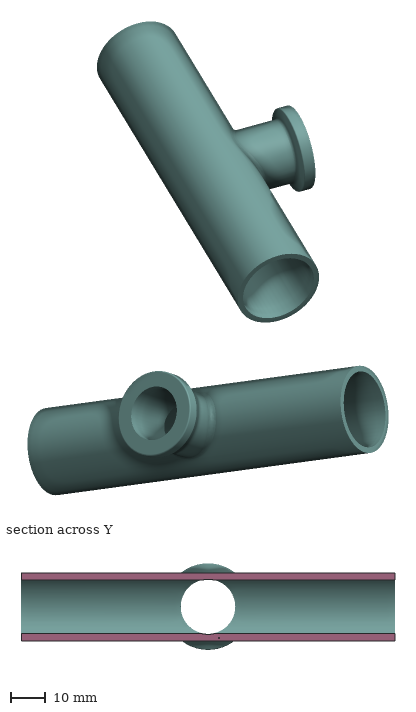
import cadquery as cq
import math

RUN_LENGTH = 107.95
RUN_OUTER_DIAMETER = 25.4
RUN_INNER_DIAMETER = 22.1

WALL = (RUN_OUTER_DIAMETER - RUN_INNER_DIAMETER) / 2
BRANCH_OUTER_DIAMETER = 19.05
BRANCH_INNER_DIAMETER = BRANCH_OUTER_DIAMETER - 2 * WALL
BRANCH_FACE_Y = 28.575
SADDLE_FILLET_RADIUS = 1.5

FERRULE_LENGTH = 12.7
FLANGE_DIAMETER = 24.99
FLANGE_THICKNESS = 3.6
TAPER_ANGLE = 20.0
FRONT_EDGE_FILLET_RADIUS = 0.4
BACK_EDGE_FILLET_RADIUS = 0.4
NECK_FILLET_RADIUS = 0.8


def cylinder_along_x(diameter, length):
    """Cylinder on the X axis, centred on the origin."""
    return cq.Workplane("YZ").circle(diameter / 2).extrude(length / 2, both=True)


def cylinder_along_y(diameter, length):
    """Cylinder on the Y axis, from the origin toward +Y."""
    return cq.Workplane("XZ").circle(diameter / 2).extrude(-length)


def make_tee_body():
    """Solid run and branch stub, blended where they meet."""
    run = cylinder_along_x(RUN_OUTER_DIAMETER, RUN_LENGTH)
    stub = cylinder_along_y(BRANCH_OUTER_DIAMETER, BRANCH_FACE_Y - FERRULE_LENGTH)
    run_radius = RUN_OUTER_DIAMETER / 2
    stub_radius = BRANCH_OUTER_DIAMETER / 2
    joint_low_y = math.sqrt(run_radius**2 - stub_radius**2)
    joint_box = cq.selectors.BoxSelector(
        (-stub_radius, joint_low_y, -stub_radius),
        (stub_radius, run_radius, stub_radius),
    )
    return run.union(stub).edges(joint_box).fillet(SADDLE_FILLET_RADIUS)


def round_edge(body, y, radius):
    """Fillet the circular edge centred at height y on the branch axis."""
    return body.edges(cq.selectors.NearestToPointSelector((0, y, 0))).fillet(radius)


def make_ferrule():
    """Solid ferrule: straight neck and a flange with a tapered, rounded back."""
    neck_radius = BRANCH_OUTER_DIAMETER / 2
    rim_radius = FLANGE_DIAMETER / 2
    rim_back_y = BRANCH_FACE_Y - FLANGE_THICKNESS
    taper_depth = (rim_radius - neck_radius) * math.tan(math.radians(TAPER_ANGLE))
    taper_end_y = rim_back_y - taper_depth
    profile = (
        cq.Workplane("XY")
        .moveTo(0, BRANCH_FACE_Y - FERRULE_LENGTH)
        .lineTo(neck_radius, BRANCH_FACE_Y - FERRULE_LENGTH)
        .lineTo(neck_radius, taper_end_y)
        .lineTo(rim_radius, rim_back_y)
        .lineTo(rim_radius, BRANCH_FACE_Y)
        .lineTo(0, BRANCH_FACE_Y)
        .close()
    )
    ferrule = profile.revolve(360, (0, 0, 0), (0, 1, 0))
    ferrule = round_edge(ferrule, taper_end_y, NECK_FILLET_RADIUS)
    ferrule = round_edge(ferrule, rim_back_y, BACK_EDGE_FILLET_RADIUS)
    return round_edge(ferrule, BRANCH_FACE_Y, FRONT_EDGE_FILLET_RADIUS)


def make_bores():
    """Through bore of the run joined by the bore of the branch."""
    run_bore = cylinder_along_x(RUN_INNER_DIAMETER, RUN_LENGTH)
    return run_bore.union(cylinder_along_y(BRANCH_INNER_DIAMETER, BRANCH_FACE_Y))


result = make_tee_body().union(make_ferrule(), clean=False).cut(make_bores(), clean=False)